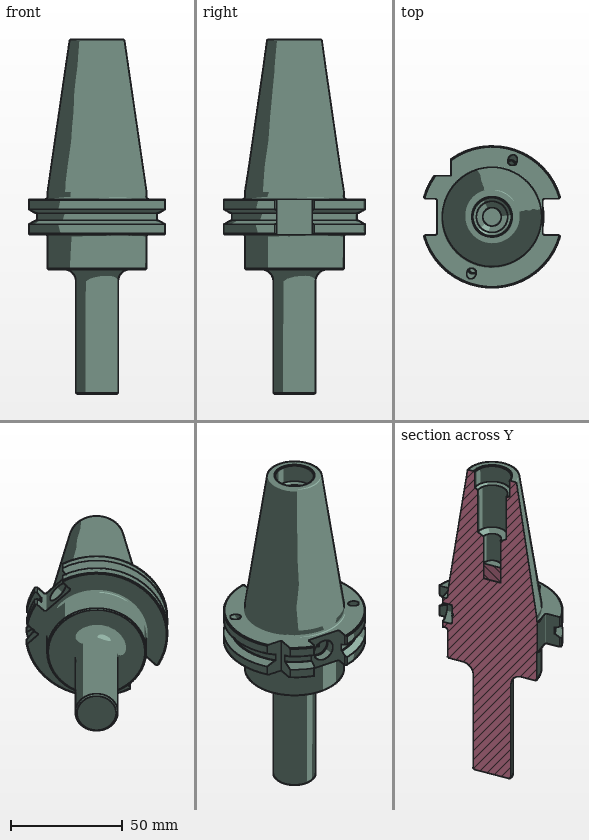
import cadquery as cq
import math

TOTAL_LENGTH = 158.8
TAPER_LENGTH = 68.3
SHANK_END_Z = TAPER_LENGTH - TOTAL_LENGTH
FLANGE_TOP_Z = -3.2
FLANGE_THICKNESS = 15.9
FLANGE_BOTTOM_Z = FLANGE_TOP_Z - FLANGE_THICKNESS
FLANGE_MIDDLE_Z = FLANGE_TOP_Z - FLANGE_THICKNESS / 2
COLLAR_BOTTOM_Z = -34.8

COLLAR_RADIUS = 22.2
TAPER_PER_LENGTH = 7 / 24
TAPER_END_RADIUS = COLLAR_RADIUS - TAPER_LENGTH * TAPER_PER_LENGTH / 2
TAPER_END_FILLET = 1.0
FLANGE_RADIUS = 31.8
FLANGE_CHAMFER = 0.5
NECK_FILLET = 1.0
COLLAR_CHAMFER = 0.6
SHANK_RADIUS = 9.5
SHANK_FILLET = 5.1
SHANK_END_CHAMFER = 0.8

GROOVE_FLOOR_RADIUS = 28.1
GROOVE_LEDGE_RADIUS = 28.5
GROOVE_FLOOR_WIDTH = 3.2
GROOVE_ANGLE = 60
GROOVE_WALL_HEIGHT = (FLANGE_RADIUS - GROOVE_LEDGE_RADIUS) / math.tan(math.radians(GROOVE_ANGLE))

SLOT_WIDTH = 16.0
LEFT_SLOT_FLOOR = 24.6
RIGHT_SLOT_FLOOR = 22.7
SLOT_CORNER_RADIUS = 0.8
SLOT_EDGE_CHAMFER = 1.0
NOTCH_CORNER = 18.4

RECESS_RADIUS = 5.0
RECESS_DEPTH = 4.6
RECESS_FLOOR_CHAMFER = 0.3
CENTRE_MARK_RADIUS = 0.71
CENTRE_MARK_DEPTH = 0.8

COOLANT_MOUTH_RADIUS = 2.0
COOLANT_MOUTH_DEPTH = 3.3
COOLANT_INNER_RADIUS = 1.6
COOLANT_DEPTH = 9.5
COOLANT_PLACE_RADIUS = 27
COOLANT_TURNS = (70, 250)
COOLANT_TILT = 32
COOLANT_OVERSHOOT = 3.2

DRILL_POINT_ANGLE = 120
BORE_RADIUS = 8.5
BORE_CHAMFER = 0.5
BORE_DEPTH = 8.5
THREAD_RADIUS = 7.0
THREAD_DEPTH = 31.8
FEED_RADIUS = 4.1
FEED_DEPTH = 47.6
PLUG_LENGTH = 8


def turned(profile):
    return profile.close().revolve(360, (0, 0, 0), (0, 1, 0))


def drill_step(wide_radius, narrow_radius):
    """Height of the conical step that a drill point leaves between two radii."""
    return (wide_radius - narrow_radius) / math.tan(math.radians(DRILL_POINT_ANGLE / 2))


def taper_blank():
    end = (
        cq.Workplane("XZ")
        .moveTo(0, TAPER_LENGTH)
        .lineTo(TAPER_END_RADIUS, TAPER_LENGTH)
        .lineTo(COLLAR_RADIUS, 0)
        .lineTo(COLLAR_RADIUS, FLANGE_MIDDLE_Z)
        .lineTo(0, FLANGE_MIDDLE_Z)
    )
    return turned(end).faces(">Z").edges().fillet(TAPER_END_FILLET)


def flange_blank():
    """Flange disc with its V groove and the fillets into the necks above and below."""
    half_floor = GROOVE_FLOOR_WIDTH / 2
    half_mouth = half_floor + GROOVE_WALL_HEIGHT
    profile = (
        cq.Workplane("XZ")
        .moveTo(0, FLANGE_TOP_Z + NECK_FILLET)
        .lineTo(COLLAR_RADIUS, FLANGE_TOP_Z + NECK_FILLET)
        .radiusArc((COLLAR_RADIUS + NECK_FILLET, FLANGE_TOP_Z), -NECK_FILLET)
        .lineTo(FLANGE_RADIUS - FLANGE_CHAMFER, FLANGE_TOP_Z)
        .lineTo(FLANGE_RADIUS, FLANGE_TOP_Z - FLANGE_CHAMFER)
        .lineTo(FLANGE_RADIUS, FLANGE_MIDDLE_Z + half_mouth)
        .lineTo(GROOVE_LEDGE_RADIUS, FLANGE_MIDDLE_Z + half_floor)
        .lineTo(GROOVE_FLOOR_RADIUS, FLANGE_MIDDLE_Z + half_floor)
        .lineTo(GROOVE_FLOOR_RADIUS, FLANGE_MIDDLE_Z - half_floor)
        .lineTo(GROOVE_LEDGE_RADIUS, FLANGE_MIDDLE_Z - half_floor)
        .lineTo(FLANGE_RADIUS, FLANGE_MIDDLE_Z - half_mouth)
        .lineTo(FLANGE_RADIUS, FLANGE_BOTTOM_Z + FLANGE_CHAMFER)
        .lineTo(FLANGE_RADIUS - FLANGE_CHAMFER, FLANGE_BOTTOM_Z)
        .lineTo(COLLAR_RADIUS + NECK_FILLET, FLANGE_BOTTOM_Z)
        .radiusArc((COLLAR_RADIUS, FLANGE_BOTTOM_Z - NECK_FILLET), -NECK_FILLET)
        .lineTo(0, FLANGE_BOTTOM_Z - NECK_FILLET)
    )
    return turned(profile)


def collar_and_shank():
    profile = (
        cq.Workplane("XZ")
        .moveTo(0, FLANGE_MIDDLE_Z)
        .lineTo(COLLAR_RADIUS, FLANGE_MIDDLE_Z)
        .lineTo(COLLAR_RADIUS, COLLAR_BOTTOM_Z + COLLAR_CHAMFER)
        .lineTo(COLLAR_RADIUS - COLLAR_CHAMFER, COLLAR_BOTTOM_Z)
        .lineTo(SHANK_RADIUS + SHANK_FILLET, COLLAR_BOTTOM_Z)
        .radiusArc((SHANK_RADIUS, COLLAR_BOTTOM_Z - SHANK_FILLET), -SHANK_FILLET)
        .lineTo(SHANK_RADIUS, SHANK_END_Z)
        .lineTo(0, SHANK_END_Z)
    )
    return turned(profile).faces("<Z").edges().chamfer(SHANK_END_CHAMFER)


def stepped_bore():
    """Cutter for the pilot bore, the threaded bore and the feed bore below it."""
    bore_end_z = TAPER_LENGTH - BORE_DEPTH
    thread_end_z = TAPER_LENGTH - THREAD_DEPTH
    feed_end_z = TAPER_LENGTH - FEED_DEPTH - PLUG_LENGTH
    profile = (
        cq.Workplane("XZ")
        .moveTo(0, TAPER_LENGTH)
        .lineTo(BORE_RADIUS + BORE_CHAMFER, TAPER_LENGTH)
        .lineTo(BORE_RADIUS, TAPER_LENGTH - BORE_CHAMFER)
        .lineTo(BORE_RADIUS, bore_end_z)
        .lineTo(THREAD_RADIUS, bore_end_z - drill_step(BORE_RADIUS, THREAD_RADIUS))
        .lineTo(THREAD_RADIUS, thread_end_z)
        .lineTo(FEED_RADIUS, thread_end_z - drill_step(THREAD_RADIUS, FEED_RADIUS))
        .lineTo(FEED_RADIUS, feed_end_z)
        .lineTo(0, feed_end_z)
    )
    return turned(profile)


def drive_slot(floor_distance, turn):
    """Cutter for a slot facing +X, with flared mouth and rounded corners, turned about Z."""
    half_width = SLOT_WIDTH / 2
    rim_x = math.sqrt(FLANGE_RADIUS**2 - half_width**2)
    flare_x = rim_x - SLOT_EDGE_CHAMFER
    flare_length = FLANGE_RADIUS - flare_x
    slot = (
        cq.Workplane("XY", origin=(0, 0, FLANGE_BOTTOM_Z))
        .moveTo(floor_distance, -half_width)
        .lineTo(flare_x, -half_width)
        .lineTo(FLANGE_RADIUS, -half_width - flare_length)
        .lineTo(FLANGE_RADIUS, half_width + flare_length)
        .lineTo(flare_x, half_width)
        .lineTo(floor_distance, half_width)
        .close()
        .extrude(FLANGE_THICKNESS)
        .edges("|Z and <X")
        .fillet(SLOT_CORNER_RADIUS)
    )
    return slot.rotate((0, 0, 0), (0, 0, 1), turn)


def index_notch():
    """Cutter for the square notch through the flange rim at the -X, +Y corner."""
    return (
        cq.Workplane("XY", origin=(-NOTCH_CORNER, NOTCH_CORNER, FLANGE_BOTTOM_Z))
        .rect(-FLANGE_RADIUS, FLANGE_RADIUS, centered=False)
        .extrude(FLANGE_THICKNESS)
    )


def slot_recess():
    """Cutter for the round recess in the left slot floor, with a conical mark in its centre."""
    mouth = cq.Workplane("YZ", origin=(-LEFT_SLOT_FLOOR, 0, FLANGE_MIDDLE_Z))
    recess = mouth.circle(RECESS_RADIUS).extrude(RECESS_DEPTH)
    recess = recess.faces(">X").edges().chamfer(RECESS_FLOOR_CHAMFER)
    mark = cq.Solid.makeCone(
        CENTRE_MARK_RADIUS,
        0,
        CENTRE_MARK_DEPTH,
        cq.Vector(RECESS_DEPTH - LEFT_SLOT_FLOOR, 0, FLANGE_MIDDLE_Z),
        cq.Vector(1, 0, 0),
    )
    return recess.union(cq.Workplane(mark))


def coolant_hole(turn):
    """Cutter for a stepped hole that slants from the flange top down toward the axis."""
    tilt = math.radians(COOLANT_TILT)
    direction = cq.Vector(-math.sin(tilt), 0, -math.cos(tilt))
    mouth_centre = cq.Vector(COOLANT_PLACE_RADIUS, 0, FLANGE_TOP_Z)
    start = mouth_centre - direction * COOLANT_OVERSHOOT
    mouth_length = COOLANT_OVERSHOOT + COOLANT_MOUTH_DEPTH
    mouth = cq.Solid.makeCylinder(COOLANT_MOUTH_RADIUS, mouth_length, start, direction)
    inner = cq.Solid.makeCylinder(COOLANT_INNER_RADIUS, COOLANT_DEPTH, mouth_centre, direction)
    return cq.Workplane(mouth.fuse(inner)).rotate((0, 0, 0), (0, 0, 1), turn)


def build_holder():
    holder = taper_blank().union(flange_blank()).union(collar_and_shank())
    holder = holder.cut(stepped_bore())
    holder = holder.cut(drive_slot(LEFT_SLOT_FLOOR, 180))
    holder = holder.cut(drive_slot(RIGHT_SLOT_FLOOR, 0))
    holder = holder.cut(index_notch())
    holder = holder.cut(slot_recess())
    for turn in COOLANT_TURNS:
        holder = holder.cut(coolant_hole(turn))
    return holder


def build_plug():
    """Flat-topped plug that closes the lower end of the feed bore."""
    return (
        cq.Workplane("XY", origin=(0, 0, TAPER_LENGTH - FEED_DEPTH))
        .circle(FEED_RADIUS)
        .extrude(-PLUG_LENGTH)
    )


holder = build_holder()
plug = build_plug()
result = cq.Compound.makeCompound([holder.solids().val(), plug.val()])